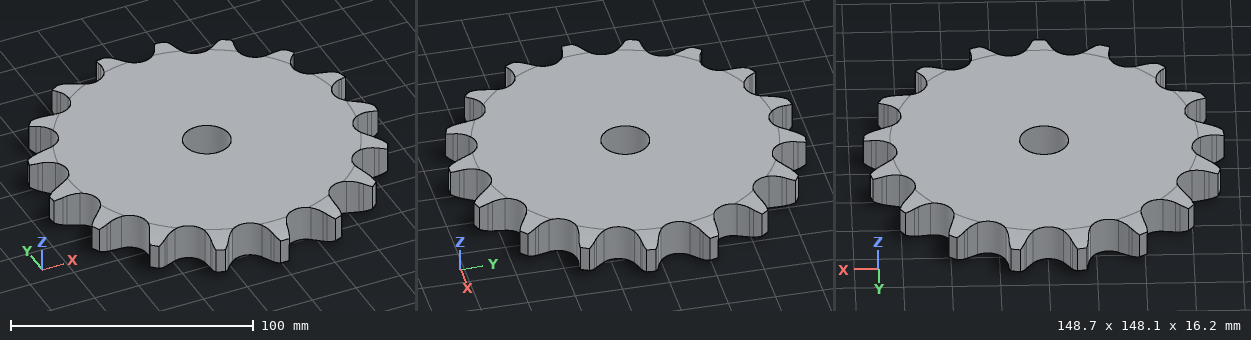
import cadquery as cq
import math

tooth_count = 17
pitch_diameter = 138.3
roller_diameter = 15.9
seating_clearance = 0.07
outer_diameter = 149.0
thickness = 16.2
bore_diameter = 20.0
side_relief_start_radius = 63.5
side_relief_radius = 25.4
cutter_margin = 3.0

pitch_radius = pitch_diameter / 2
seating_radius = (1.005 * roller_diameter + seating_clearance) / 2
working_offset = 0.8 * roller_diameter
working_radius = seating_radius + working_offset
seating_angle = math.radians(35 + 60 / tooth_count)
working_sweep = math.radians(18 - 56 / tooth_count)
flank_angle = seating_angle - working_sweep
topping_angle = math.radians(17 - 64 / tooth_count)
topping_offset = 1.4 * roller_diameter
flank_length = topping_offset * math.sin(topping_angle) - working_offset * math.sin(working_sweep)
topping_radius = (
    topping_offset * math.cos(topping_angle)
    + working_offset * math.cos(working_sweep)
    - working_radius
)
topping_sweep = math.radians(24)

outer_radius = outer_diameter / 2


def along(start, distance, angle):
    """Point at a distance from start, in the direction of angle."""
    return (start[0] + distance * math.cos(angle), start[1] + distance * math.sin(angle))


def mirrored(point):
    """The same point on the other side of the gap's centre line."""
    return (-point[0], point[1])


def make_blank():
    """Disc whose rim is rounded down on both faces."""
    half_thickness = thickness / 2
    relief_center = (side_relief_start_radius, half_thickness - side_relief_radius)
    tip_angle = math.acos((outer_radius - side_relief_start_radius) / side_relief_radius)
    rim_top = along(relief_center, side_relief_radius, tip_angle)
    rim_middle = along(relief_center, side_relief_radius, (tip_angle + math.pi / 2) / 2)
    bore_radius = bore_diameter / 2
    return (
        cq.Workplane("XZ")
        .moveTo(bore_radius, -half_thickness)
        .lineTo(bore_radius, half_thickness)
        .lineTo(side_relief_start_radius, half_thickness)
        .threePointArc(rim_middle, rim_top)
        .lineTo(rim_top[0], -rim_top[1])
        .threePointArc((rim_middle[0], -rim_middle[1]), (side_relief_start_radius, -half_thickness))
        .close()
        .revolve(360, (0, 0, 0), (0, 1, 0))
    )


def make_gap_cutter():
    """Tooth gap centred on +Y: roller seat, working curves, straight flanks and topping curves."""
    seat_center = (0, pitch_radius)
    seat_bottom = along(seat_center, seating_radius, -math.pi / 2)
    seat_end = along(seat_center, seating_radius, -seating_angle)

    working_center = along(seat_center, -working_offset, -seating_angle)
    working_middle = along(working_center, working_radius, -(seating_angle + flank_angle) / 2)
    working_end = along(working_center, working_radius, -flank_angle)

    flank_end = along(working_end, flank_length, math.pi / 2 - flank_angle)

    topping_center = along(flank_end, topping_radius, -flank_angle)
    topping_start_angle = math.pi - flank_angle
    topping_middle = along(topping_center, topping_radius, topping_start_angle - topping_sweep / 2)
    topping_end = along(topping_center, topping_radius, topping_start_angle - topping_sweep)

    cutter_top = (topping_end[0], outer_radius + cutter_margin)
    return (
        cq.Workplane("XY")
        .moveTo(*seat_end)
        .threePointArc(working_middle, working_end)
        .lineTo(*flank_end)
        .threePointArc(topping_middle, topping_end)
        .lineTo(*cutter_top)
        .lineTo(*mirrored(cutter_top))
        .lineTo(*mirrored(topping_end))
        .threePointArc(mirrored(topping_middle), mirrored(flank_end))
        .lineTo(*mirrored(working_end))
        .threePointArc(mirrored(working_middle), mirrored(seat_end))
        .threePointArc(seat_bottom, seat_end)
        .close()
        .extrude(thickness / 2 + cutter_margin, both=True)
    )


result = make_blank()
gap_cutter = make_gap_cutter()
for index in range(tooth_count):
    gap_angle = 360 * index / tooth_count
    result = result.cut(gap_cutter.rotate((0, 0, 0), (0, 0, 1), gap_angle))